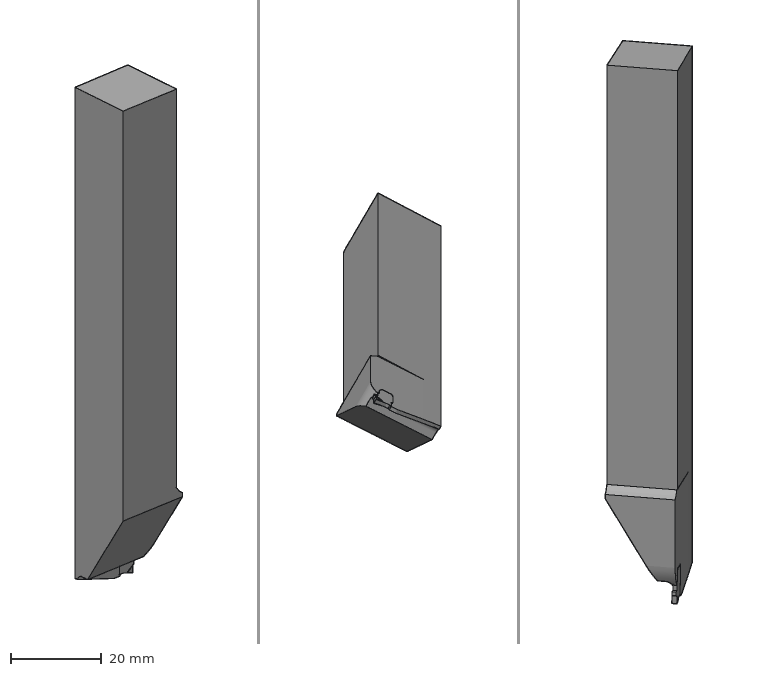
import cadquery as cq

total_width = 15.95
total_length = 125.0
shank_height = 15.95
head_height = 17.69

head_top_z = 26.63
rise_knee = (16.85, 25.5)
rise_end_z = 24.9
nose_start_z = 8.9
nose_middle = (17.25, 6.6)
nose_end = (16.0, 4.3)
bottom_z = 0.45
bottom_start_y = 10.9
underside_z = 3.9

side_face_x = 0.18
blade_far_x = 1.1
blade_root_z = 3.65
blade_root_radius = 1.5
shoulder_end_x = 4.4
bevel_top_z = 23.9

lean_start_y = 4.5

lip_y = 16.75
lip_z = (2.1, 2.9)
neck_y = 15.9
neck_z = (2.95, 4.9)
stem_front_y = 15.5
stem_front_z = (5.0, 6.4)
stem_top_z = 7.8
stem_top_clearance = 0.12
stem_back_y = 12.1
stem_back_z = (3.2, 7.2)
stem_top_y = (12.4, 14.9)
foot_back_y = 12.5
foot_back_top_z = 3.0
foot_bottom_z = 0.85
foot_flat_end_y = 13.6
cutting_edge = (16.35, 0)
rake_top = (16.4, 1.9)
tip_back = (14.8, 0.7)
tip_width = 1.24
tip_side_relief = 0.05
tip_corner = 0.2


def side_profile():
    return (
        cq.Workplane("YZ")
        .moveTo(0, total_length)
        .lineTo(0, underside_z)
        .lineTo(bottom_start_y, bottom_z)
        .lineTo(foot_back_y, bottom_z)
        .lineTo(*nose_end)
        .threePointArc(nose_middle, (head_height, nose_start_z))
        .lineTo(head_height, rise_end_z)
        .lineTo(*rise_knee)
        .lineTo(shank_height, head_top_z)
        .lineTo(shank_height, total_length)
        .close()
        .extrude(total_width)
    )


def front_profile():
    shoulder_z = blade_root_z + blade_root_radius
    return (
        cq.Workplane("XZ")
        .moveTo(0, total_length)
        .lineTo(0, 0)
        .lineTo(blade_far_x, 0)
        .lineTo(blade_far_x, blade_root_z)
        .radiusArc((blade_far_x + blade_root_radius, shoulder_z), blade_root_radius)
        .lineTo(shoulder_end_x, shoulder_z)
        .lineTo(total_width, bevel_top_z)
        .lineTo(total_width, total_length)
        .close()
        .extrude(-head_height)
    )


def side_waste():
    """Material to remove beyond the leaning shank face and the flat head face, ending in a bevel."""
    lean = side_face_x / (shank_height - lean_start_y)
    underside_x = side_face_x + lean * lean_start_y
    beside_shank = (
        cq.Workplane("XY")
        .polyline([(0, 0), (underside_x, 0), (0, shank_height)])
        .close()
        .extrude(total_length)
    )
    beside_head = (
        cq.Workplane("XZ")
        .moveTo(0, 0)
        .lineTo(side_face_x, 0)
        .lineTo(side_face_x, head_top_z)
        .lineTo(0, head_top_z + side_face_x)
        .close()
        .extrude(-head_height)
    )
    return beside_shank.union(beside_head)


def insert_stem(top_z):
    """Stem of the insert, from its clamped top down to the foot above the cutting edge."""
    outline = [
        cutting_edge,
        rake_top,
        (lip_y, lip_z[0]),
        (lip_y, lip_z[1]),
        (neck_y, neck_z[0]),
        (neck_y, neck_z[1]),
        (stem_front_y, stem_front_z[0]),
        (stem_front_y, stem_front_z[1]),
        (stem_top_y[1], top_z),
        (stem_top_y[0], top_z),
        (stem_back_y, stem_back_z[1]),
        (stem_back_y, stem_back_z[0]),
        (foot_back_y, foot_back_top_z),
        (foot_back_y, foot_bottom_z),
        (foot_flat_end_y, foot_bottom_z),
    ]
    return (
        cq.Workplane("YZ", origin=(side_face_x, 0, 0))
        .polyline(outline)
        .close()
        .extrude(blade_far_x - side_face_x)
    )


def insert_tip():
    """Cutting tip, a little wider than the stem and relieved on both sides above the edge."""
    side = cq.Workplane("YZ").polyline([cutting_edge, rake_top, tip_back]).close().extrude(tip_width)
    front = (
        cq.Workplane("XZ")
        .moveTo(tip_corner, 0)
        .lineTo(tip_width - tip_corner, 0)
        .radiusArc((tip_width, tip_corner), -tip_corner)
        .lineTo(tip_width - tip_side_relief, rake_top[1])
        .lineTo(tip_side_relief, rake_top[1])
        .lineTo(0, tip_corner)
        .radiusArc((tip_corner, 0), -tip_corner)
        .close()
        .extrude(-head_height)
    )
    return side.intersect(front)


insert = insert_stem(stem_top_z).union(insert_tip())
seat = insert_stem(stem_top_z + stem_top_clearance)
holder = side_profile().intersect(front_profile()).cut(side_waste()).cut(seat).cut(insert)

result = cq.Compound.makeCompound([holder.val(), insert.val()])